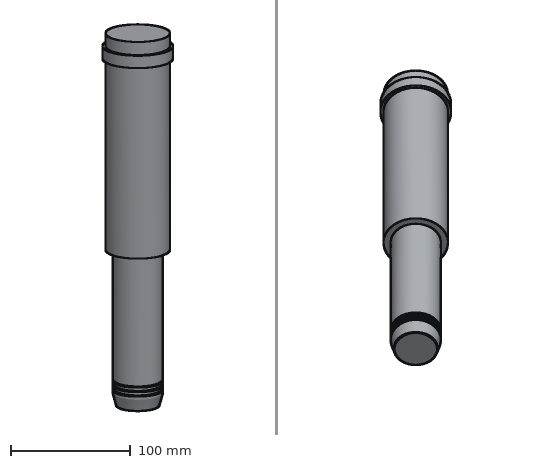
import cadquery as cq
import math

length = 323.0
body_radius = 54.0 / 2
collar_radius = 59.0 / 2
shank_radius = 42.0 / 2

shank_height = 135.0
collar_top = length - 11.3
collar_height = 10.5

nose_height = 10.5
nose_angle = 15
end_chamfer = 0.5

groove_count = 3
groove_width = 1.0
groove_depth = 0.5
groove_pitch = 4.0


def cylinder(radius, bottom, top):
    """Solid cylinder on the Z axis between two heights."""
    return cq.Workplane("XY").workplane(offset=bottom).circle(radius).extrude(top - bottom)


def shank():
    """Lower shaft with a conical nose and a small chamfer around its end."""
    taper = math.tan(math.radians(nose_angle))
    chamfer_radius = shank_radius - (nose_height - end_chamfer) * taper
    return (
        cq.Workplane("XZ")
        .lineTo(chamfer_radius - end_chamfer, 0)
        .lineTo(chamfer_radius, end_chamfer)
        .lineTo(shank_radius, nose_height)
        .lineTo(shank_radius, shank_height)
        .lineTo(0, shank_height)
        .close()
        .revolve(360, (0, 0, 0), (0, 1, 0))
    )


def ring_groove(bottom):
    """Ring of material to cut from the surface of the shank."""
    top = bottom + groove_width
    outer = cylinder(shank_radius, bottom, top)
    return outer.cut(cylinder(shank_radius - groove_depth, bottom, top))


body = cylinder(body_radius, shank_height, length)
collar = cylinder(collar_radius, collar_top - collar_height, collar_top)
result = shank().union(body).union(collar)

for index in range(groove_count):
    groove_top = nose_height + (index + 1) * groove_pitch
    result = result.cut(ring_groove(groove_top - groove_width))